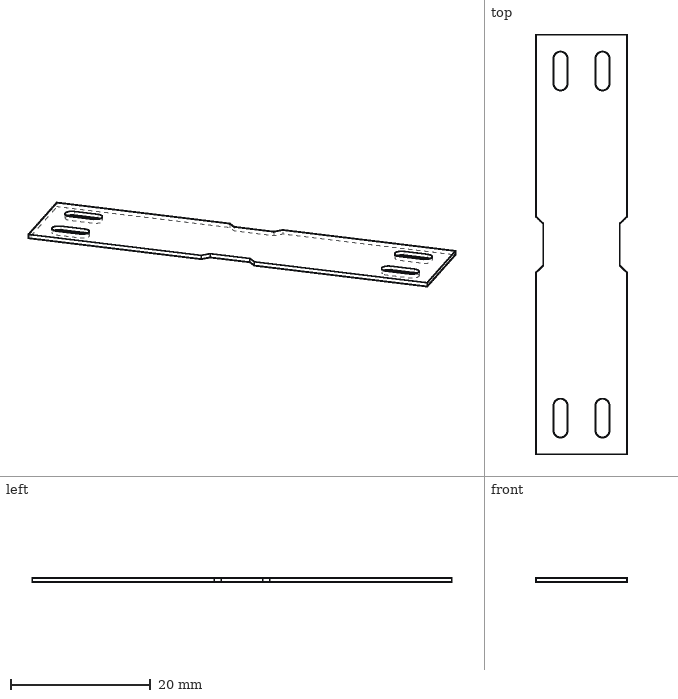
import cadquery as cq

length = 60.0
width = 13.0
thickness = 0.6

notch_depth = 1.0
notch_mouth = 8.0
notch_floor = 6.0

slot_length = 5.5
slot_width = 2.0
slot_spacing_x = 6.0
slot_spacing_y = 49.6


def edge_notch(side):
    """Trapezoidal cutter for the long edge on the given side (+1 or -1)."""
    edge_x = side * width / 2
    floor_x = side * (width / 2 - notch_depth)
    return (
        cq.Workplane("XY")
        .moveTo(edge_x, -notch_mouth / 2)
        .lineTo(floor_x, -notch_floor / 2)
        .lineTo(floor_x, notch_floor / 2)
        .lineTo(edge_x, notch_mouth / 2)
        .close()
        .extrude(thickness)
    )


strip = cq.Workplane("XY").box(width, length, thickness, centered=(True, True, False))

slots = (
    cq.Workplane("XY")
    .rarray(slot_spacing_x, slot_spacing_y, 2, 2)
    .slot2D(slot_length, slot_width, angle=90)
    .extrude(thickness)
)

result = strip.cut(slots)
for side in (-1, 1):
    result = result.cut(edge_notch(side))